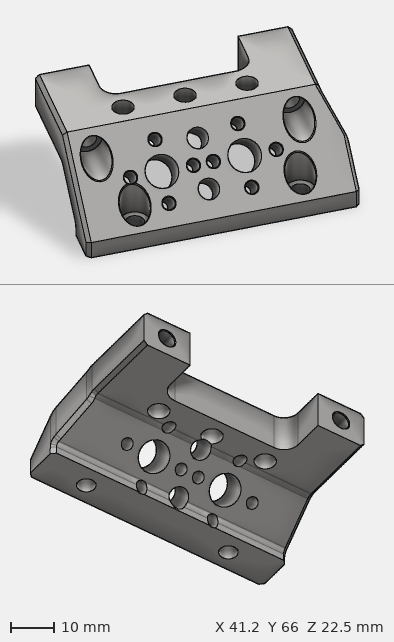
import cadquery as cq
import math

length = 41.2
width = 66.0
height = 22.5

arm_thickness = 10.0
arm_width = 62.0
ridge_x = 22.0
right_edge_height = 4.55
wall_thickness = 8.1
foot_thickness = 10.0
bend_radius = 2.0
edge_chamfer = 1.0
flare_radius = 4.0

recess_width = 36.0
recess_depth = 12.0
recess_radius = 4.0

plate_hole_x = 17.0
plate_hole_pitch = 15.0
plate_hole_diameter = 5.15

arm_hole_spacing = 49.0
arm_hole_diameter = 4.5
arm_bore_diameter = 7.2
arm_bore_floor_x = 20.0

foot_hole_x = 36.25
foot_hole_center_y = 33.0
foot_hole_spacing = 40.0
foot_hole_diameter = 4.5
foot_bore_diameter = 7.2
foot_bore_floor_z = 4.0

large_hole_spacing = 20.0
large_hole_diameter = 7.9
middle_hole_spacing = 12.15
middle_hole_diameter = 5.0
small_hole_radius = 7.6
small_hole_diameter = 3.0

hole_chamfer = 0.2

tolerance = 0.005

foot_x = length - foot_thickness
center_y = arm_width / 2
underside_z = height - arm_thickness
slope = (height - right_edge_height) / (length - ridge_x)
slope_angle = math.atan(slope)
wall_drop = wall_thickness / math.cos(slope_angle)
slope_center_x = (ridge_x + length) / 2
slope_center_z = (height + right_edge_height) / 2
flare_end_x = foot_x


def slope_top_z(x):
    return height - slope * (x - ridge_x)


def bent_profile():
    """Full-width bar with the bent side profile and both underside bends rounded."""
    foot_top_z = slope_top_z(foot_x) - wall_drop
    bend_x = ridge_x + (height - wall_drop - underside_z) / slope
    bar = (
        cq.Workplane("XZ")
        .polyline([
            (0, underside_z),
            (0, height),
            (ridge_x, height),
            (length, right_edge_height),
            (length, 0),
            (foot_x, 0),
            (foot_x, foot_top_z),
            (bend_x, underside_z),
        ])
        .close()
        .extrude(-width)
    )
    for x, z in [(bend_x, underside_z), (foot_x, foot_top_z)]:
        bend_edge = cq.selectors.NearestToPointSelector((x, width / 2, z))
        bar = bar.edges(bend_edge).fillet(bend_radius)
    return bar


def plan_prism():
    """Block over the plan outline, whose +Y side flares out with rounded corners."""
    prism = (
        cq.Workplane("XY")
        .polyline([
            (0, 0),
            (length, 0),
            (length, width),
            (flare_end_x, width),
            (ridge_x, arm_width),
            (0, arm_width),
        ])
        .close()
        .extrude(slope_top_z(0))
    )
    for x, y in [(ridge_x, arm_width), (flare_end_x, width)]:
        corner = cq.selectors.NearestToPointSelector((x, y, slope_top_z(0) / 2))
        prism = prism.edges(corner).fillet(flare_radius)
    return prism


def chamfered_under(top_end_height):
    """Plan block under a single plane that passes through the ridge, its side edges chamfered.

    The plane falls or stays level from the ridge to top_end_height at the right end.
    """
    top_slope = (height - top_end_height) / (length - ridge_x)
    left_z = height + top_slope * ridge_x
    below_plane = (
        cq.Workplane("XZ")
        .polyline([(0, 0), (0, left_z), (length, top_end_height), (length, 0)])
        .close()
        .extrude(-width)
    )
    block = plan_prism().intersect(below_plane)
    top_edges = block.faces(cq.selectors.DirectionMinMaxSelector(cq.Vector(top_slope, 0, 1))).edges()
    side_edges = [edge for edge in top_edges.vals() if edge.BoundingBox().xlen > tolerance]
    return block.newObject(side_edges).chamfer(edge_chamfer)


def is_lower_side_edge(edge):
    """True for the side edges under the bar and at the upright ends of the foot."""
    box = edge.BoundingBox()
    center = edge.Center()
    on_left_end = box.xmax < tolerance
    on_base = box.zmax < tolerance
    on_top = center.z > min(height, slope_top_z(center.x)) - tolerance
    runs_across = box.xlen < tolerance and box.ylen > width / 2
    plan_corner = box.xlen < tolerance and box.zlen > right_edge_height + tolerance
    return not (on_left_end or on_base or on_top or runs_across or plan_corner)


def make_body():
    """Bent bar cut to the plan outline, with chamfers along both long sides."""
    bar = bent_profile().intersect(plan_prism())
    lower_edges = [edge for edge in bar.edges().vals() if is_lower_side_edge(edge)]
    bar = bar.newObject(lower_edges).chamfer(edge_chamfer)
    flat_limit = chamfered_under(height)
    sloped_limit = chamfered_under(right_edge_height)
    return bar.intersect(flat_limit).intersect(sloped_limit)


def cylinder(origin, direction, diameter, depth):
    """Cutting cylinder that starts at origin and runs along direction."""
    return cq.Workplane(
        cq.Solid.makeCylinder(diameter / 2, depth, cq.Vector(*origin), cq.Vector(*direction))
    )


def mouth_cone(origin, direction, diameter):
    """Small countersink that breaks the mouth of a hole."""
    return cq.Workplane(
        cq.Solid.makeCone(
            diameter / 2 + hole_chamfer,
            diameter / 2,
            hole_chamfer,
            cq.Vector(*origin),
            cq.Vector(*direction),
        )
    )


def cut_recess(body):
    recess = (
        cq.Workplane("XY")
        .center(0, center_y)
        .rect(2 * recess_depth, recess_width)
        .extrude(height)
        .edges("|Z")
        .fillet(recess_radius)
    )
    return body.cut(recess)


def cut_plate_holes(body):
    for row in (-1, 0, 1):
        y = center_y + row * plate_hole_pitch
        body = body.cut(cylinder((plate_hole_x, y, 0), (0, 0, 1), plate_hole_diameter, height))
    return body


def break_bore_mouth(body, y, z):
    """Chamfer the rim that a bore leaves on the sloped face, centered at the given Y and Z."""
    rim_center = (ridge_x + (height - z) / slope, y, z)
    rim = cq.selectors.NearestToPointSelector(rim_center)
    sloped_face = body.faces(cq.selectors.DirectionMinMaxSelector(cq.Vector(slope, 0, 1)))
    return sloped_face.edges(rim).chamfer(hole_chamfer)


def cut_arm_holes(body):
    z = underside_z + arm_thickness / 2
    for side in (-1, 1):
        y = center_y + side * arm_hole_spacing / 2
        body = body.cut(cylinder((0, y, z), (1, 0, 0), arm_hole_diameter, length))
        body = body.cut(mouth_cone((0, y, z), (1, 0, 0), arm_hole_diameter))
        body = body.cut(cylinder((arm_bore_floor_x, y, z), (1, 0, 0), arm_bore_diameter, length))
        body = break_bore_mouth(body, y, z)
    return body


def cut_foot_holes(body):
    x = foot_hole_x
    for side in (-1, 1):
        y = foot_hole_center_y + side * foot_hole_spacing / 2
        body = body.cut(cylinder((x, y, 0), (0, 0, 1), foot_hole_diameter, height))
        body = body.cut(cylinder((x, y, foot_bore_floor_z), (0, 0, 1), foot_bore_diameter, height))
        body = break_bore_mouth(body, y, slope_top_z(x))
    return body


def cut_wall_hole(body, along, y, diameter, has_mouth):
    """Hole square to the sloped wall, placed by its distance down the slope from mid-slope."""
    origin = (
        slope_center_x + along * math.cos(slope_angle),
        y,
        slope_center_z - along * math.sin(slope_angle),
    )
    inward = (-math.sin(slope_angle), 0, -math.cos(slope_angle))
    body = body.cut(cylinder(origin, inward, diameter, height))
    if has_mouth:
        body = body.cut(mouth_cone(origin, inward, diameter))
    return body


def cut_wall_pattern(body):
    for side in (-1, 1):
        middle_offset = side * middle_hole_spacing / 2
        body = cut_wall_hole(body, middle_offset, center_y, middle_hole_diameter, False)
        group_y = center_y + side * large_hole_spacing / 2
        body = cut_wall_hole(body, 0, group_y, large_hole_diameter, False)
        for offset in (-small_hole_radius, small_hole_radius):
            body = cut_wall_hole(body, offset, group_y, small_hole_diameter, True)
            body = cut_wall_hole(body, 0, group_y + offset, small_hole_diameter, True)
    return body


result = make_body()
result = cut_recess(result)
result = cut_plate_holes(result)
result = cut_arm_holes(result)
result = cut_foot_holes(result)
result = cut_wall_pattern(result).solids()